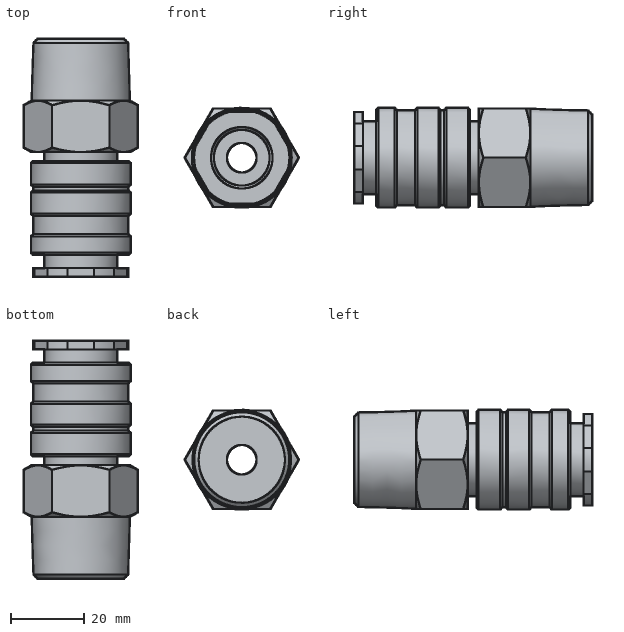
import cadquery as cq
import math


LENGTH = 65.0
FLANGE_END = 2.4
SLEEVE_START = 6.0
SLEEVE_END = 31.6
HEX_START = 34.0
HEX_END = 48.1
GAUGE_PLANE = 55.5

FLANGE_RADIUS = 13.0
FLANGE_ACROSS_FLATS = 25.0

NECK_RADIUS = 10.0
SLEEVE_RADIUS = 13.65
SLEEVE_CHAMFER = 0.6
GROOVE_DEPTH = 0.65
GROOVES = [(11.0, 17.25), (22.95, 25.2)]

HEX_ACROSS_FLATS = 27.0
HEX_CHAMFER_ANGLE = 30.0
HEX_FACE_RADIUS = HEX_ACROSS_FLATS / 2 - 0.1

GAUGE_RADIUS = 26.44 / 2
TAPER_SLOPE = 1 / 32
THREAD_CHAMFER = 1.2

TUBE_BORE_RADIUS = 7.6
TUBE_BORE_DEPTH = HEX_START
TUBE_BORE_CHAMFER = 0.8
FLOW_BORE_RADIUS = 4.0


def cylinder(radius, start, end):
    """Cylinder about the Y axis between two stations."""
    return cq.Workplane("XZ", origin=(0, start, 0)).circle(radius).extrude(start - end)


def hexagon(across_flats, start, end):
    """Hexagonal prism along Y with two flats facing +Z and -Z."""
    across_corners = across_flats / math.cos(math.pi / 6)
    return cq.Workplane("XZ", origin=(0, start, 0)).polygon(6, across_corners).extrude(start - end)


def revolved(points):
    """Solid of revolution about Y from (radius, station) points, closed along the axis."""
    first_station = points[0][1]
    last_station = points[-1][1]
    profile = [(0, first_station)] + points + [(0, last_station)]
    return cq.Workplane("XY").polyline(profile).close().revolve(360, (0, 0, 0), (0, 1, 0))


def make_flange():
    disc = cylinder(FLANGE_RADIUS, 0, FLANGE_END)
    return disc.intersect(hexagon(FLANGE_ACROSS_FLATS, 0, FLANGE_END))


def make_sleeve():
    """Chamfered sleeve with 45 degree sided grooves turned into it."""
    points = [
        (SLEEVE_RADIUS - SLEEVE_CHAMFER, SLEEVE_START),
        (SLEEVE_RADIUS, SLEEVE_START + SLEEVE_CHAMFER),
    ]
    for start, end in GROOVES:
        points += [
            (SLEEVE_RADIUS, start),
            (SLEEVE_RADIUS - GROOVE_DEPTH, start + GROOVE_DEPTH),
            (SLEEVE_RADIUS - GROOVE_DEPTH, end - GROOVE_DEPTH),
            (SLEEVE_RADIUS, end),
        ]
    points += [
        (SLEEVE_RADIUS, SLEEVE_END - SLEEVE_CHAMFER),
        (SLEEVE_RADIUS - SLEEVE_CHAMFER, SLEEVE_END),
    ]
    return revolved(points)


def make_hex():
    """Hexagon with both ends coned so that its corners are chamfered."""
    corner_radius = HEX_ACROSS_FLATS / 2 / math.cos(math.pi / 6)
    cone_radius = corner_radius + 1.0
    cone_length = (cone_radius - HEX_FACE_RADIUS) * math.tan(math.radians(HEX_CHAMFER_ANGLE))
    envelope = revolved([
        (HEX_FACE_RADIUS, HEX_START),
        (cone_radius, HEX_START + cone_length),
        (cone_radius, HEX_END - cone_length),
        (HEX_FACE_RADIUS, HEX_END),
    ])
    return hexagon(HEX_ACROSS_FLATS, HEX_START, HEX_END).intersect(envelope)


def thread_radius(station):
    return GAUGE_RADIUS - (station - GAUGE_PLANE) * TAPER_SLOPE


def make_thread():
    """Smooth taper, with a section edge at the gauge plane and a chamfered tip."""
    chamfer_start = LENGTH - THREAD_CHAMFER
    tip_radius = thread_radius(chamfer_start)
    return revolved([
        (thread_radius(HEX_END), HEX_END),
        (GAUGE_RADIUS, GAUGE_PLANE),
        (tip_radius, chamfer_start),
        (tip_radius - THREAD_CHAMFER, LENGTH),
    ])


def make_bores():
    """Tube bore with a chamfered mouth, then a narrower bore through to the thread end."""
    return revolved([
        (TUBE_BORE_RADIUS + TUBE_BORE_CHAMFER, 0),
        (TUBE_BORE_RADIUS, TUBE_BORE_CHAMFER),
        (TUBE_BORE_RADIUS, TUBE_BORE_DEPTH),
        (FLOW_BORE_RADIUS, TUBE_BORE_DEPTH),
        (FLOW_BORE_RADIUS, LENGTH),
    ])


neck = cylinder(NECK_RADIUS, 0, HEX_START)
body = neck.union(make_flange()).union(make_sleeve()).union(make_hex()).union(make_thread())
result = body.cut(make_bores())